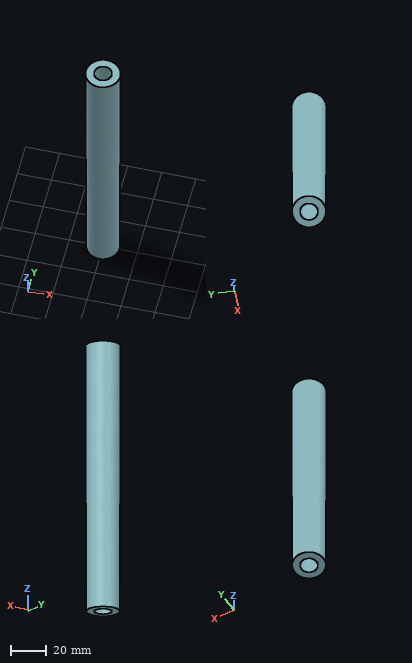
import cadquery as cq

length = 158.8
head_length = 25.4
head_diameter = 20.2
tip_diameter = 19.4
bore_diameter = 10.2

head_radius = head_diameter / 2
tip_radius = tip_diameter / 2
bore_radius = bore_diameter / 2
shoulder_height = length - head_length

half_section = (
    cq.Workplane("YZ")
    .moveTo(-bore_radius, 0)
    .lineTo(-tip_radius, 0)
    .lineTo(-head_radius, shoulder_height)
    .lineTo(-head_radius, length)
    .lineTo(-bore_radius, length)
    .close()
)

result = half_section.revolve(360, (0, 0, 0), (0, 1, 0))